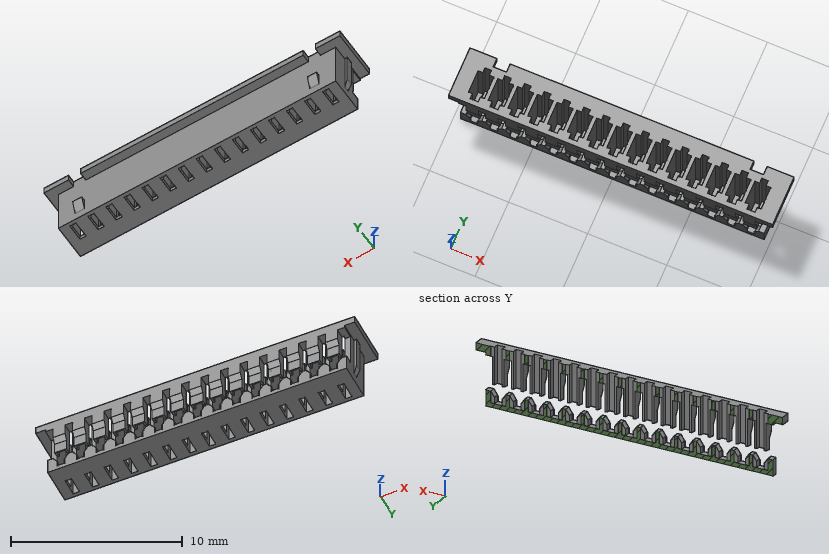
import cadquery as cq

length = 20.5
depth = 3.2
height = 3.95

contacts = 15
pitch = 1.25
contact_x = [(i - (contacts - 1) / 2) * pitch for i in range(contacts)]

flange_thickness = 0.5
flange_bottom = height - flange_thickness
body_length = 19.2
rear_overhang = 0.55
body_back = depth - rear_overhang
wall_front = 0.8
foot_front = 0.27
foot_top = 1.07
window_top = 3.3

panel_width = 0.78
panel_lower_front = 0.23
panel_back = 0.64
panel_slope_top = 2.56
panel_slope_bottom = 2.2
panel_bottom = 1.45
panel_bottom_rise = 0.06

divider = 0.25
cavity_width = pitch - divider
cavity_back = 2.07
cavity_floor = 0.3
slot_width = 0.4
slot_back = 2.4
exit_front = 1.31
relief_width = 0.51
relief_front = 0.3
funnel_bottom = 0.64

latch_x = (contacts / 2 - 1) * pitch
notch_width = 0.85
latch_width = 0.64
latch_reach = 0.27
latch_top = 1.5
latch_bottom = 0.62

rib_reach = 0.18
rib_front = 1.25
rib_width = 0.45
rib_taper_top = 1.19
rib_bottom = 0.6
rib_root_width = 0.35


def box(x_center, width, y0, y1, z0, z1):
    """Box centred at x_center, spanning y0 to y1 and z0 to z1."""
    base = cq.Workplane("XY", origin=(x_center, y0, z0))
    return base.box(width, y1 - y0, z1 - z0, centered=(True, False, False))


def side_prism(points, x_center, width):
    """Prism along X from (y, z) points, centred at x_center."""
    start = x_center - width / 2
    return cq.Workplane("YZ", origin=(start, 0, 0)).polyline(points).close().extrude(width)


def front_prism(points, y0, y1):
    """Prism along Y from (x, z) points, spanning y0 to y1."""
    return cq.Workplane("XZ", origin=(0, y0, 0)).polyline(points).close().extrude(y0 - y1)


def housing():
    """Flange, upper band, recessed wall block and projecting foot."""
    flange = box(0, length, 0, depth, flange_bottom, height)
    body_outline = [
        (foot_front, 0),
        (body_back, 0),
        (body_back, flange_bottom),
        (0, flange_bottom),
        (0, window_top),
        (wall_front, window_top),
        (wall_front, foot_top),
        (foot_front, foot_top),
    ]
    return flange.union(side_prism(body_outline, 0, body_length))


def front_panel(x):
    """Tongue hanging from the upper band, thinned toward its lower end."""
    outline = [
        (0, window_top),
        (0, panel_slope_top),
        (panel_lower_front, panel_slope_bottom),
        (panel_lower_front, panel_bottom),
        (panel_back, panel_bottom + panel_bottom_rise),
        (panel_back, window_top),
    ]
    return side_prism(outline, x, panel_width)


def cavity(x):
    """Chamber with a rear slot, an exit through the floor and a narrow relief toward the front."""
    chamber = box(x, cavity_width, panel_back, cavity_back, cavity_floor, height)
    rear_slot = box(x, slot_width, exit_front, slot_back, 0, height)
    relief = box(x, relief_width, relief_front, panel_back, cavity_floor, height)
    return chamber.union(rear_slot).union(relief)


def wire_entry(x):
    """Slot with a V-shaped mouth through the front of the foot."""
    mouth = cavity_width / 2
    slot = slot_width / 2
    outline = [
        (x - mouth, foot_top),
        (x - slot, funnel_bottom),
        (x - slot, cavity_floor),
        (x + slot, cavity_floor),
        (x + slot, funnel_bottom),
        (x + mouth, foot_top),
    ]
    return front_prism(outline, foot_front, panel_back)


def latch(x):
    """Wedge on the rear face with its flat side up."""
    outline = [
        (body_back, latch_bottom),
        (body_back + latch_reach, latch_top),
        (body_back, latch_top),
    ]
    return side_prism(outline, x, latch_width)


def guide_ribs():
    """Dovetail ribs on both ends, wider at the outer face and sloped in at the bottom."""
    end = body_length / 2
    outer = end + rib_reach
    rib_middle = rib_front + rib_width / 2
    root = rib_root_width / 2
    face = rib_width / 2
    plan = [
        (end, rib_middle - root),
        (outer, rib_middle - face),
        (outer, rib_middle + face),
        (end, rib_middle + root),
    ]
    dovetail = (
        cq.Workplane("XY", origin=(0, 0, rib_bottom))
        .polyline(plan)
        .close()
        .extrude(flange_bottom - rib_bottom)
    )
    slope_outline = [
        (end, rib_bottom),
        (outer, rib_taper_top),
        (outer, flange_bottom),
        (end, flange_bottom),
    ]
    rib = dovetail.intersect(front_prism(slope_outline, 0, depth))
    return rib.union(rib.mirror("YZ"))


result = housing().union(guide_ribs())

for x in (-latch_x, latch_x):
    result = result.cut(box(x, notch_width, body_back, depth, flange_bottom, height))
    result = result.union(latch(x))

for x in contact_x:
    result = result.union(front_panel(x))

for x in contact_x:
    result = result.cut(cavity(x)).cut(wire_entry(x))